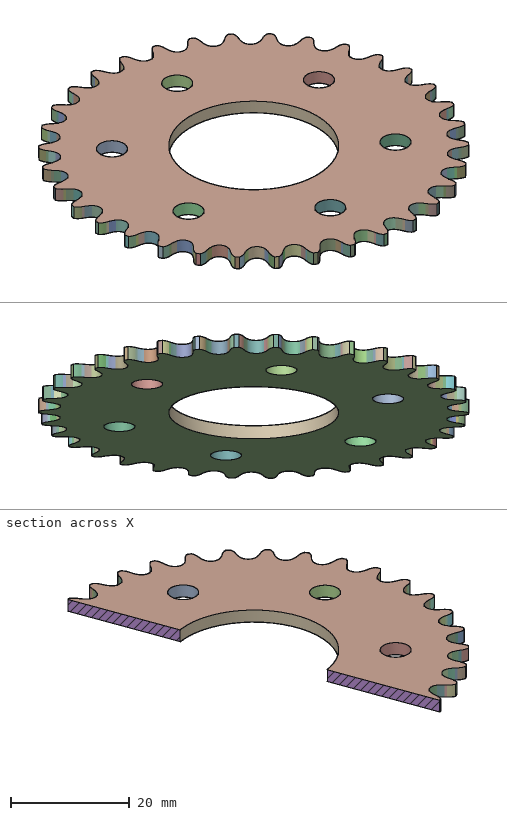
import cadquery as cq
import math

tooth_count = 34
outer_diameter = 72.35
pitch_diameter = 68.8
roller_diameter = 3.3
seat_diameter = 3.4
thickness = 2.3

bore_diameter = 28.6
bolt_hole_count = 6
bolt_hole_diameter = 5.2
bolt_circle_diameter = 47.75

outer_radius = outer_diameter / 2
seat_radius = seat_diameter / 2
half_tooth_angle = math.pi / tooth_count
seat_angle = math.radians(35 + 60 / tooth_count)
working_angle = math.radians(18 - 56 / tooth_count)
flank_angle = seat_angle - working_angle
working_center_distance = 0.8 * roller_diameter
topping_center_distance = 1.4 * roller_diameter
working_radius = working_center_distance + seat_radius


def offset(point, distance, angle):
    """Point at a distance and angle (radians) from another point."""
    return (point[0] + distance * math.cos(angle), point[1] + distance * math.sin(angle))


def gap_flank():
    """Points down one side of the gap centred on +Y, tooth tip first, gap floor last."""
    roller_center = (0, pitch_diameter / 2)
    working_center = offset(roller_center, -working_center_distance, -seat_angle)
    topping_center = offset(roller_center, topping_center_distance, -half_tooth_angle)

    center_spacing = (
        (topping_center[0] - working_center[0]) * math.cos(flank_angle)
        - (topping_center[1] - working_center[1]) * math.sin(flank_angle)
    )
    topping_radius = center_spacing - working_radius

    topping_center_radius = math.hypot(*topping_center)
    topping_center_angle = math.atan2(topping_center[1], topping_center[0])
    tip_swing = math.acos(
        (outer_radius**2 + topping_center_radius**2 - topping_radius**2)
        / (2 * outer_radius * topping_center_radius)
    )
    tip = offset((0, 0), outer_radius, topping_center_angle + tip_swing)
    topping_end = offset(topping_center, -topping_radius, -flank_angle)
    tip_direction = math.atan2(tip[1] - topping_center[1], tip[0] - topping_center[0])
    topping_middle_direction = (tip_direction + math.pi - flank_angle) / 2
    topping_middle = offset(topping_center, topping_radius, topping_middle_direction)

    working_start = offset(working_center, working_radius, -flank_angle)
    working_middle = offset(working_center, working_radius, -flank_angle - working_angle / 2)
    seat_start = offset(roller_center, seat_radius, -seat_angle)
    gap_floor = offset(roller_center, seat_radius, -math.pi / 2)
    return tip, topping_middle, topping_end, working_start, working_middle, seat_start, gap_floor


def rotate(point, angle):
    """Point turned about the sprocket axis."""
    return offset((0, 0), math.hypot(*point), math.atan2(point[1], point[0]) + angle)


def mirror(point):
    """Point reflected to the other side of the gap."""
    return (-point[0], point[1])


def toothed_blank():
    flank = gap_flank()
    pitch_angle = 2 * half_tooth_angle
    flank_tip = flank[0]
    outline = cq.Workplane("XY").moveTo(*rotate(flank_tip, half_tooth_angle))
    for gap in range(tooth_count):
        turn = half_tooth_angle + gap * pitch_angle
        right = [rotate(point, turn) for point in flank]
        left = [rotate(mirror(point), turn) for point in flank]
        _, topping_middle, topping_end, working_start, working_middle, seat_start, gap_floor = right
        outline = (
            outline.threePointArc(topping_middle, topping_end)
            .lineTo(*working_start)
            .threePointArc(working_middle, seat_start)
        )
        tip, topping_middle, topping_end, working_start, working_middle, seat_start, _ = left
        next_tooth_crest = rotate((0, outer_radius), turn + half_tooth_angle)
        next_tip = rotate(flank_tip, turn + pitch_angle)
        outline = (
            outline.threePointArc(gap_floor, seat_start)
            .threePointArc(working_middle, working_start)
            .lineTo(*topping_end)
            .threePointArc(topping_middle, tip)
            .threePointArc(next_tooth_crest, next_tip)
        )
    return outline.close().extrude(thickness)


def through_holes():
    bore = cq.Workplane("XY").circle(bore_diameter / 2).extrude(thickness)
    bolt_holes = (
        cq.Workplane("XY")
        .polarArray(bolt_circle_diameter / 2, 0, 360, bolt_hole_count)
        .circle(bolt_hole_diameter / 2)
        .extrude(thickness)
    )
    return bore.union(bolt_holes)


result = toothed_blank().cut(through_holes())